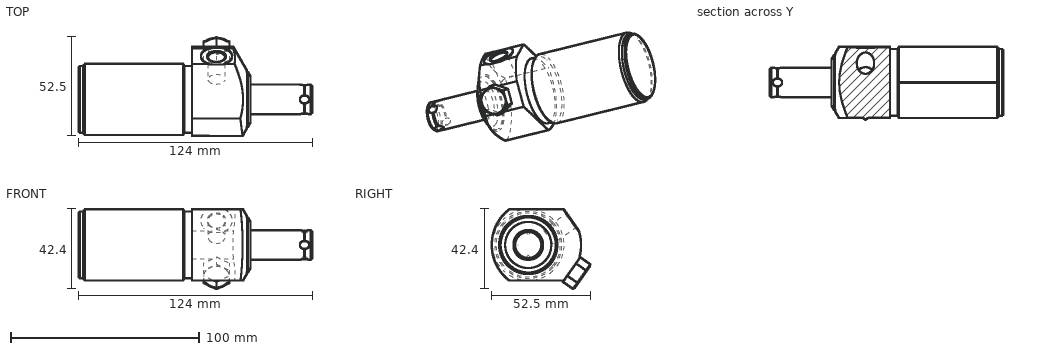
import cadquery as cq
import math

total_length = 124.0
barrel_end = 56.0
head_start = 60.1
head_cone_end = 89.3
cap_cone_start = 89.9
cap_end = 91.3

barrel_diameter = 38.0
barrel_radius = barrel_diameter / 2
end_ring_diameter = 35.6
end_ring_radius = end_ring_diameter / 2
end_ring_chamfer = 0.7
end_ring_length = 2.2
barrel_chamfer = barrel_radius - end_ring_radius
neck_radius = end_ring_radius
barrel_end_chamfer = 0.7

head_radius = 23.8
head_offset = 4.3
head_half_height = barrel_radius
port_face_distance = 22.8
port_angle = 35.0
head_cone_end_radius = 15.5
cap_radius = 14.6
cone_slope = math.tan(math.radians(60))

port_x = 73.2
spotface_diameter = 16.6
spotface_depth = 0.2
bore_diameter = 9.0
bore_mouth_diameter = 10.0
bore_mouth_depth = (bore_mouth_diameter - bore_diameter) / 2
bore_depth = 14.9
plug_flats = 13.9
plug_height = 6.6
plug_disc_height = 0.4
plug_corner_diameter = plug_flats / math.cos(math.radians(30))

rod_diameter = 15.9
rod_radius = rod_diameter / 2
rod_chamfer = 1.0
groove_x = 119.9
groove_radius = 0.4
dimple_radius = 2.5


def turned(points):
    """Solid of revolution about X from (x, radius) points; it is closed along the axis."""
    outline = [(points[0][0], 0)] + points + [(points[-1][0], 0)]
    return cq.Workplane("XY").polyline(outline).close().revolve(360, (0, 0, 0), (1, 0, 0))


def port_plane(side):
    """Plane on a slanted face, its normal pointing outward; side is +1 above, -1 below."""
    angle = math.radians(side * port_angle)
    normal = (0, math.cos(angle), math.sin(angle))
    origin = (
        port_x,
        head_offset + port_face_distance * normal[1],
        port_face_distance * normal[2],
    )
    return cq.Plane(origin=origin, xDir=(1, 0, 0), normal=normal)


def make_barrel():
    return turned([
        (0, end_ring_radius - end_ring_chamfer),
        (end_ring_chamfer, end_ring_radius),
        (end_ring_length, end_ring_radius),
        (end_ring_length + barrel_chamfer, barrel_radius),
        (barrel_end - barrel_end_chamfer, barrel_radius),
        (barrel_end, neck_radius),
        (head_start, neck_radius),
    ])


def make_head():
    disc = (
        cq.Workplane("YZ", origin=(head_start, 0, 0))
        .center(head_offset, 0)
        .circle(head_radius)
        .extrude(cap_end - head_start)
    )
    flats = cq.Workplane("XY").box(4 * total_length, 4 * head_radius, 2 * head_half_height)
    head = disc.intersect(flats)
    for side in (1, -1):
        waste = cq.Workplane(port_plane(side)).rect(total_length, 4 * head_radius).extrude(head_radius)
        head = head.cut(waste)

    cone_start_radius = head_cone_end_radius + cone_slope * (head_cone_end - head_start)
    nose = turned([
        (head_start, cone_start_radius),
        (head_cone_end, head_cone_end_radius),
        (head_cone_end, cap_radius),
        (cap_cone_start, cap_radius),
        (cap_end, cap_radius - cone_slope * (cap_end - cap_cone_start)),
    ])
    return head.intersect(nose)


def make_rod():
    rod = turned([
        (head_start, rod_radius),
        (total_length - rod_chamfer, rod_radius),
        (total_length, rod_radius - rod_chamfer),
    ])
    for y, z in ((1, 0), (0, 1), (-1, 0), (0, -1)):
        mouth_center = cq.Vector(groove_x, y * rod_radius, z * rod_radius)
        dimple = cq.Solid.makeCone(dimple_radius, 0, dimple_radius, mouth_center, cq.Vector(0, -y, -z))
        rod = rod.cut(cq.Workplane(dimple))

    groove = cq.Workplane(
        cq.Solid.makeTorus(rod_radius, groove_radius, cq.Vector(groove_x, 0, 0), cq.Vector(1, 0, 0))
    )
    return rod.cut(groove)


def make_port_cutter():
    plane = port_plane(1)
    floor = cq.Workplane(plane).workplane(offset=-spotface_depth)
    spotface = floor.circle(spotface_diameter / 2).extrude(head_radius)
    bore = floor.circle(bore_diameter / 2).extrude(-bore_depth)
    mouth = (
        floor.circle(bore_mouth_diameter / 2)
        .workplane(offset=-bore_mouth_depth)
        .circle(bore_diameter / 2)
        .loft(ruled=True)
    )
    return spotface.union(bore).union(mouth)


def make_plug():
    seat = cq.Workplane(port_plane(-1).rotated((0, 0, 90))).workplane(offset=-spotface_depth)
    hexagon = seat.polygon(6, plug_corner_diameter).extrude(plug_height + spotface_depth)
    disc = seat.circle(plug_flats / 2).extrude(spotface_depth + plug_height + plug_disc_height)
    return hexagon.union(disc)


result = (
    make_barrel()
    .union(make_head())
    .cut(make_port_cutter())
    .union(make_rod())
    .union(make_plug())
)